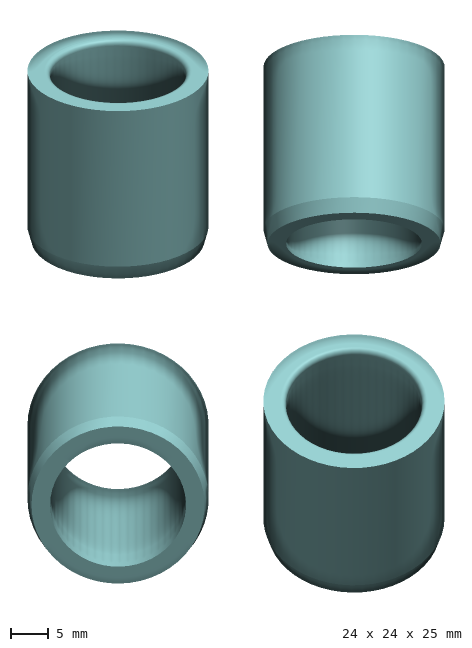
import cadquery as cq
import math

length = 25
outer_radius = 12
bore_radius = 9
mouth_fillet = 0.75

lead_in_height = 2
lead_in_angle = 15
lead_in_radius = outer_radius - lead_in_height * math.tan(math.radians(lead_in_angle))

arc_offset = mouth_fillet * math.sqrt(0.5)
mouth_radius = bore_radius + mouth_fillet
fillet_start_height = length - mouth_fillet
arc_middle = (mouth_radius - arc_offset, fillet_start_height + arc_offset)

wall_section = (
    cq.Workplane("XZ")
    .moveTo(bore_radius, 0)
    .lineTo(lead_in_radius, 0)
    .lineTo(outer_radius, lead_in_height)
    .lineTo(outer_radius, length)
    .lineTo(mouth_radius, length)
    .threePointArc(arc_middle, (bore_radius, fillet_start_height))
    .close()
)

result = wall_section.revolve(360, (0, 0, 0), (0, 1, 0))